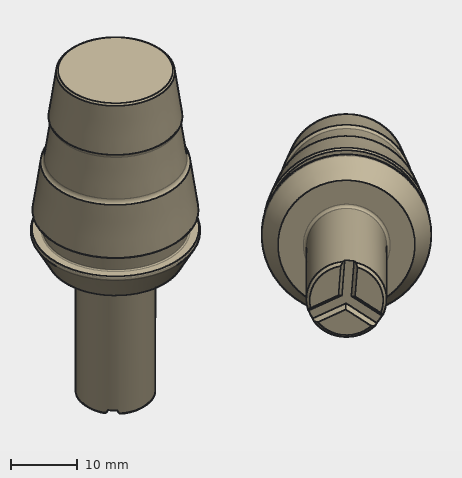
import cadquery as cq
import math

total_height = 59.1
stem_length = 25.05
flange_edge_low = 29.5
neck_bottom = 30.15
neck_top = 33.2
middle_taper_base = 42.3
upper_taper_base = 50.65

stem_radius = 6.0
flange_base_radius = 10.25
flange_radius = 12.725
neck_radius = 11.0
lower_taper_radius = 12.45
middle_taper_radius = 10.8
upper_taper_radius = 10.05
taper_slope = math.tan(math.radians(8))

stem_chamfer = 0.5
stem_fillet = 0.5
rim_chamfer_height = 0.2
rim_chamfer_width = 0.12
rim_bulge = 0.1
neck_fillet = 0.2
lower_taper_chamfer = 0.3
shoulder_height = 0.75
flare_height = 0.65
top_chamfer = 0.3

slot_count = 3
slot_roof_width = 1.4
slot_mouth_width = 2.5
slot_depth = 1.0
first_slot_angle = 90


def tapered(base_radius, rise):
    """Radius of a taper at the given rise above its lower edge."""
    return base_radius - rise * taper_slope


def quarter_arc(profile, end, center, radius, direction):
    """Add a 90 degree arc whose midpoint lies along the diagonal direction."""
    reach = radius * math.sqrt(0.5)
    middle = (center[0] + reach * direction[0], center[1] + reach * direction[1])
    return profile.threePointArc(middle, end)


def shoulder_middle(edge, top):
    """Midpoint of the concave arc from a shoulder edge to the taper it meets tangentially at the top."""
    taper_normal = cq.Vector(1, taper_slope).normalized()
    top_point = cq.Vector(*top)
    edge_point = cq.Vector(*edge)
    chord = edge_point - top_point
    radius = chord.dot(chord) / (2 * chord.dot(taper_normal))
    center = top_point + taper_normal * radius
    toward_chord = ((top_point + edge_point) * 0.5 - center).normalized()
    middle = center + toward_chord * radius
    return (middle.x, middle.y)


def make_body():
    """Revolve the half profile (radius, height) around Z."""
    profile = cq.Workplane("XZ").moveTo(0, 0)

    profile = profile.lineTo(stem_radius - stem_chamfer, 0)
    profile = profile.lineTo(stem_radius, stem_chamfer)
    fillet_start = stem_length - stem_fillet
    profile = profile.lineTo(stem_radius, fillet_start)
    fillet_end_radius = stem_radius + stem_fillet
    profile = quarter_arc(
        profile, (fillet_end_radius, stem_length), (fillet_end_radius, fillet_start), stem_fillet, (-1, 1)
    )

    rim_edge_radius = flange_radius - rim_bulge
    rim_top = neck_bottom - rim_chamfer_height
    rim_middle = (flange_edge_low + rim_top) / 2
    profile = profile.lineTo(flange_base_radius, stem_length)
    profile = profile.lineTo(rim_edge_radius, flange_edge_low)
    profile = profile.threePointArc((flange_radius, rim_middle), (rim_edge_radius, rim_top))
    profile = profile.lineTo(rim_edge_radius - rim_chamfer_width, neck_bottom)

    corner_radius = neck_radius + neck_fillet
    lower_end = neck_bottom + neck_fillet
    upper_end = neck_top - neck_fillet
    profile = profile.lineTo(corner_radius, neck_bottom)
    profile = quarter_arc(
        profile, (neck_radius, lower_end), (corner_radius, lower_end), neck_fillet, (-1, -1)
    )
    profile = profile.lineTo(neck_radius, upper_end)
    profile = quarter_arc(
        profile, (corner_radius, neck_top), (corner_radius, upper_end), neck_fillet, (-1, 1)
    )

    lower_edge = neck_top + lower_taper_chamfer
    shoulder = (tapered(lower_taper_radius, middle_taper_base - lower_edge), middle_taper_base)
    profile = profile.lineTo(lower_taper_radius - lower_taper_chamfer, neck_top)
    profile = profile.lineTo(lower_taper_radius, lower_edge)
    profile = profile.lineTo(*shoulder)

    shoulder_top = (tapered(middle_taper_radius, shoulder_height), middle_taper_base + shoulder_height)
    profile = profile.threePointArc(shoulder_middle(shoulder, shoulder_top), shoulder_top)
    middle_top = upper_taper_base - flare_height
    profile = profile.lineTo(tapered(middle_taper_radius, middle_top - middle_taper_base), middle_top)

    top_edge = total_height - top_chamfer
    top_edge_radius = tapered(upper_taper_radius, top_edge - upper_taper_base)
    profile = profile.tangentArcPoint((upper_taper_radius, upper_taper_base), relative=False)
    profile = profile.lineTo(top_edge_radius, top_edge)
    profile = profile.lineTo(top_edge_radius - top_chamfer, total_height)
    profile = profile.lineTo(0, total_height).close()
    return profile.revolve(360, (0, 0, 0), (0, 1, 0))


def make_slot(angle):
    """Radial slot from the stem's axis out past its side, narrowing toward its roof."""
    section = [
        (-slot_mouth_width / 2, 0),
        (slot_mouth_width / 2, 0),
        (slot_roof_width / 2, slot_depth),
        (-slot_roof_width / 2, slot_depth),
    ]
    slot = cq.Workplane("YZ").polyline(section).close().extrude(2 * stem_radius)
    return slot.rotate((0, 0, 0), (0, 0, 1), angle)


result = make_body()
for index in range(slot_count):
    result = result.cut(make_slot(first_slot_angle + index * 360 / slot_count))